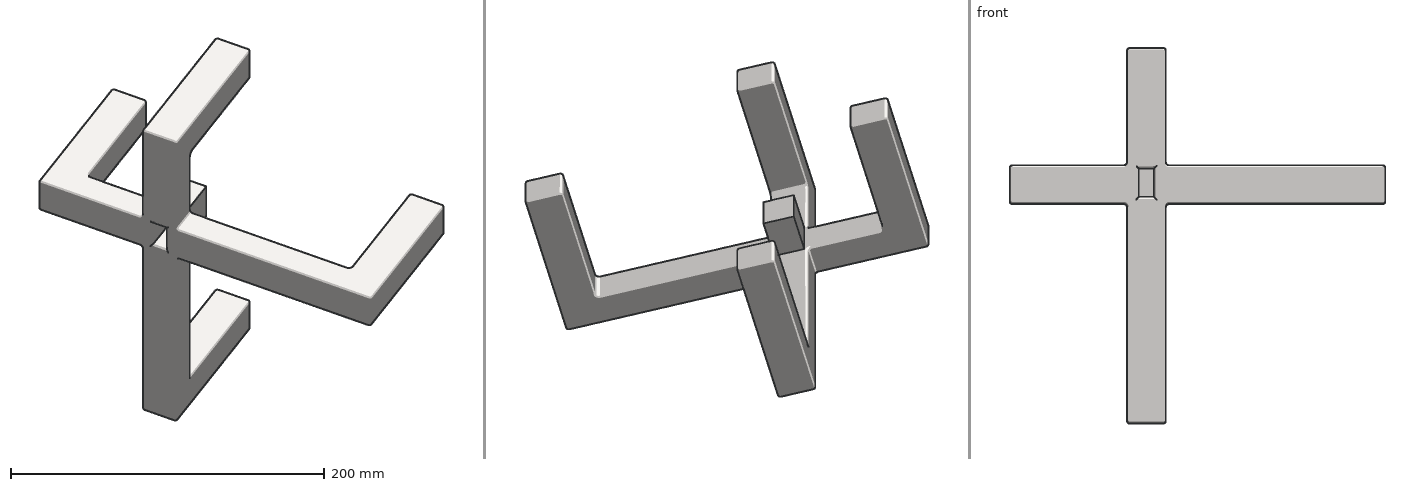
import cadquery as cq

overall_length = 240.0
overall_depth = 101.5
bar_width = 25.0
bar_thickness = 20.0
short_reach = 87.4
long_reach = overall_length - short_reach

edge_radius = 2.0
crossing_radius = 2.0
root_radius = 2.6

block_width = 20.2
block_height = 25.7
block_reach = 45.4
block_start = bar_thickness / 2

pocket_width = 9.5
pocket_height = 18.0
pocket_rise = 1.2
pocket_floor = (block_width - pocket_width) / 2
pocket_depth = block_reach - pocket_floor
pocket_mouth_radius = 2.2

half_width = bar_width / 2
probe = 0.2


def u_bar(low, high):
    """U-shaped bar along X: front face on Y = 0, both arms pointing to +Y."""
    outline = [
        (low, 0),
        (high, 0),
        (high, overall_depth),
        (high - bar_width, overall_depth),
        (high - bar_width, bar_thickness),
        (low + bar_width, bar_thickness),
        (low + bar_width, overall_depth),
        (low, overall_depth),
    ]
    return cq.Workplane("XY").polyline(outline).close().extrude(half_width, both=True)


def edges_near(point, distance):
    """Selector for the edges whose centres lie in a cube around the given point."""
    return cq.selectors.BoxSelector(
        tuple(value - distance for value in point),
        tuple(value + distance for value in point),
    )


horizontal_bar = u_bar(-short_reach, long_reach)
vertical_bar = u_bar(-long_reach, short_reach).rotate((0, 0, 0), (0, 1, 0), -90)
frame = horizontal_bar.union(vertical_bar)

crossing_corners = [
    (side * half_width, bar_thickness / 2, level * half_width)
    for side in (-1, 1)
    for level in (-1, 1)
]
rounded_roots = [
    (-short_reach + bar_width, bar_thickness, 0),
    (long_reach - bar_width, bar_thickness, 0),
    (0, bar_thickness, short_reach - bar_width),
]
sharp_root = (0, bar_thickness, -long_reach + bar_width)

inner_lines = edges_near(sharp_root, probe)
for corners, radius in ((crossing_corners, crossing_radius), (rounded_roots, root_radius)):
    for corner in corners:
        frame = frame.edges(edges_near(corner, probe)).fillet(radius)
        inner_lines = inner_lines + edges_near(corner, radius + probe)

frame = frame.edges(cq.selectors.InverseSelector(inner_lines)).fillet(edge_radius)

block_length = block_reach - block_start
block = cq.Workplane("XY").box(block_width, block_length, block_height)
block = block.translate((0, block_start + block_length / 2, 0))

pocket = cq.Workplane("XY").box(pocket_width, 2 * pocket_depth, pocket_height)
pocket = pocket.translate((0, 0, pocket_rise))

result = frame.union(block).cut(pocket)

mouth = cq.selectors.BoxSelector(
    (-pocket_width / 2 - probe, -probe, pocket_rise - pocket_height / 2 - probe),
    (pocket_width / 2 + probe, probe, pocket_rise + pocket_height / 2 + probe),
)
result = result.edges(mouth).fillet(pocket_mouth_radius)